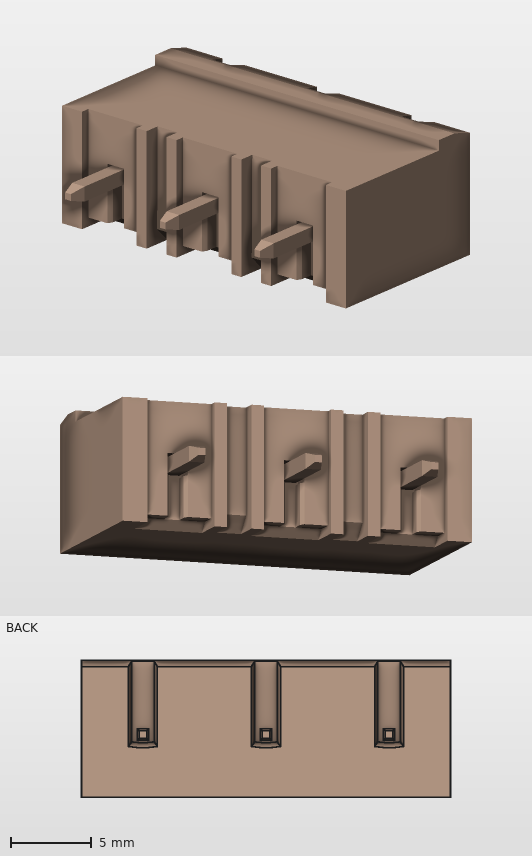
import cadquery as cq
import math


PIN_COUNT = 3
PITCH = 7.62
LENGTH = PIN_COUNT * PITCH
DEPTH = 12.0
HEIGHT = 8.5
ROOF_Z = 7.8
LIP_DEPTH = 3.0
LIP_BEVEL_DEPTH = 1.5
LIP_BEVEL_ANGLE = 15.0

RECESS_WIDTH = 4.4
RECESS_DEPTH = 0.6
RECESS_RELIEF_HEIGHT = 0.6

NOTCH_WIDTH = 1.6
NOTCH_DEPTH = 1.0
NOTCH_TAPER = 0.06
NOTCH_RELIEF_HEIGHT = 1.0

RELIEF_RAMP_ANGLE = 45.0

PIN_Z = 3.89
PIN_SIZE = 1.0
PIN_END_SIZE = 0.45
PIN_POINT_LENGTH = 1.0
PIN_OVERHANG = 4.0
PIN_SETBACK = 0.7

SLOT_DEPTH = 1.2
WINDOW_SIZE = 1.32
SLOT_BEVEL_DEPTH = 0.35

ENTRY_MOUTH_WIDTH = 1.8
ENTRY_END_WIDTH = 1.4
ENTRY_DEPTH = 1.2
ENTRY_FLOOR_ANGLE = 15.0
ENTRY_FLOOR_RADIUS = 5.0

PIN_FACE_Y = -DEPTH
RECESS_FLOOR_Y = PIN_FACE_Y + RECESS_DEPTH
NOTCH_FLOOR_Y = PIN_FACE_Y + NOTCH_DEPTH
SLOT_END_Y = RECESS_FLOOR_Y + SLOT_DEPTH
PIN_POSITIONS = [(i - (PIN_COUNT - 1) / 2) * PITCH for i in range(PIN_COUNT)]
NOTCH_POSITIONS = [x + PITCH / 2 for x in PIN_POSITIONS[:-1]]


def extrude_along_x(points, x_center, width):
    """Extrude a closed (Y, Z) outline symmetrically about x_center."""
    profile = cq.Workplane("YZ", origin=(x_center, 0, 0)).polyline(points).close()
    return profile.extrude(width / 2, both=True)


def make_housing():
    bevel_drop = LIP_BEVEL_DEPTH * math.tan(math.radians(LIP_BEVEL_ANGLE))
    outline = [
        (PIN_FACE_Y, 0),
        (0, 0),
        (0, HEIGHT - bevel_drop),
        (-LIP_BEVEL_DEPTH, HEIGHT),
        (-LIP_DEPTH, HEIGHT),
        (-LIP_DEPTH, ROOF_Z),
        (PIN_FACE_Y, ROOF_Z),
    ]
    return extrude_along_x(outline, 0, LENGTH)


def make_channel(x_center, width, floor_y, taper=0):
    """Full-height channel in the pin face, its floor leaning inwards by taper at the roof."""
    outline = [
        (PIN_FACE_Y, 0),
        (floor_y, 0),
        (floor_y + taper, ROOF_Z),
        (PIN_FACE_Y, ROOF_Z),
    ]
    return extrude_along_x(outline, x_center, width)


def make_relief(x_center, width, ramp_start_y, height):
    """Level undercut from the pin face to ramp_start_y, ending in a ramp down to the underside."""
    ramp_length = height / math.tan(math.radians(RELIEF_RAMP_ANGLE))
    outline = [
        (PIN_FACE_Y, 0),
        (ramp_start_y + ramp_length, 0),
        (ramp_start_y, height),
        (PIN_FACE_Y, height),
    ]
    return extrude_along_x(outline, x_center, width)


def make_pin_slot(x_center):
    """Square window around the pin and a narrower bevelled slot leading down to the underside."""
    bevel_end_y = RECESS_FLOOR_Y + SLOT_BEVEL_DEPTH
    half_window = WINDOW_SIZE / 2
    half_pin = PIN_SIZE / 2
    slot = (
        cq.Workplane("XY", origin=(x_center, 0, 0))
        .polyline([
            (-half_window, RECESS_FLOOR_Y),
            (half_window, RECESS_FLOOR_Y),
            (half_pin, bevel_end_y),
            (half_pin, SLOT_END_Y),
            (-half_pin, SLOT_END_Y),
            (-half_pin, bevel_end_y),
        ])
        .close()
        .extrude(PIN_Z)
    )
    window = cq.Workplane("XY").box(WINDOW_SIZE, SLOT_DEPTH, WINDOW_SIZE)
    return slot.union(window.translate((x_center, RECESS_FLOOR_Y + SLOT_DEPTH / 2, PIN_Z)))


def make_entry_slot(x_center):
    """Upright slot narrowing inwards; its trough floor meets the pin's underside at the inner end."""
    half_mouth = ENTRY_MOUTH_WIDTH / 2
    half_end = ENTRY_END_WIDTH / 2
    walls = (
        cq.Workplane("XY", origin=(x_center, 0, 0))
        .polyline([
            (-half_mouth, 0),
            (half_mouth, 0),
            (half_end, -ENTRY_DEPTH),
            (-half_end, -ENTRY_DEPTH),
        ])
        .close()
        .extrude(HEIGHT)
    )
    floor_z = PIN_Z - PIN_SIZE / 2
    trough = (
        cq.Workplane("XZ", origin=(x_center, -ENTRY_DEPTH, floor_z))
        .center(0, ENTRY_FLOOR_RADIUS)
        .circle(ENTRY_FLOOR_RADIUS)
        .extrude(HEIGHT, both=True)
        .rotate(
            (x_center, -ENTRY_DEPTH, floor_z),
            (x_center + 1, -ENTRY_DEPTH, floor_z),
            -ENTRY_FLOOR_ANGLE,
        )
    )
    return walls.intersect(trough)


def make_pin(x_center):
    length = DEPTH + PIN_OVERHANG - PIN_SETBACK
    shaft_length = length - 2 * PIN_POINT_LENGTH
    point_taper = math.degrees(math.atan((PIN_SIZE - PIN_END_SIZE) / 2 / PIN_POINT_LENGTH))
    shaft = cq.Workplane("XZ", origin=(x_center, -PIN_SETBACK - PIN_POINT_LENGTH, PIN_Z))
    shaft = shaft.rect(PIN_SIZE, PIN_SIZE).extrude(shaft_length)
    pin = shaft
    for end in ("<Y", ">Y"):
        point = shaft.faces(end).workplane().rect(PIN_SIZE, PIN_SIZE)
        pin = pin.union(point.extrude(PIN_POINT_LENGTH, taper=point_taper, combine=False))
    return pin


result = make_housing()
for x in NOTCH_POSITIONS:
    result = result.cut(make_channel(x, NOTCH_WIDTH, NOTCH_FLOOR_Y, NOTCH_TAPER))
    result = result.cut(make_relief(x, NOTCH_WIDTH, NOTCH_FLOOR_Y, NOTCH_RELIEF_HEIGHT))
for x in PIN_POSITIONS:
    result = result.cut(make_channel(x, RECESS_WIDTH, RECESS_FLOOR_Y))
    result = result.cut(make_relief(x, RECESS_WIDTH, SLOT_END_Y, RECESS_RELIEF_HEIGHT))
    result = result.cut(make_pin_slot(x))
    result = result.cut(make_entry_slot(x))
    result = result.union(make_pin(x))